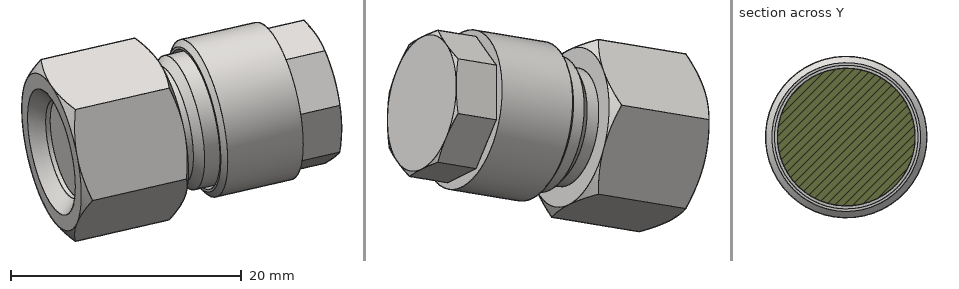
import cadquery as cq
import math

total_length = 24.7
hex_length = 10.0
neck_end = 11.16
collar_start = 11.9
nut_front = 13.25
nut_back = 20.7

hex_across_flats = 14.0
hex_chamfer_angle = 30.0

socket_mouth_radius = 5.6
socket_floor_radius = 4.4
socket_cone_depth = socket_mouth_radius - socket_floor_radius
socket_floor_depth = socket_cone_depth + 0.42

neck_radius = 5.2
collar_radius = 5.98
nut_radius = hex_across_flats / 2
nut_edge_radius = 6.45
nut_chamfer_length = 0.42

groove_radius = 6.22
groove_depth = 2.47

octagon_across_flats = 11.95
octagon_chamfer_angle = 20.0


def revolve_about_y(radius_y_points):
    """Solid of revolution about Y from a closed (radius, y) outline."""
    return cq.Workplane("XY").polyline(radius_y_points).close().revolve(360, (0, 0, 0), (0, 1, 0))


def prism_along_y(sides, across_flats, y_start, y_end, turn):
    """Regular prism along Y, with its first corner turned from +X by the given angle."""
    corner_radius = across_flats / 2 / math.cos(math.pi / sides)
    prism = cq.Workplane("XY").polygon(sides, 2 * corner_radius).extrude(y_end - y_start)
    turned = prism.rotate((0, 0, 0), (0, 0, 1), turn)
    return turned.rotate((0, 0, 0), (1, 0, 0), -90).translate((0, y_start, 0))


def corner_chamfer(sides, across_flats, angle):
    """Radial width and axial length of the chamfer at a prism corner, for a cone touching the flats."""
    flat_radius = across_flats / 2
    corner_radius = flat_radius / math.cos(math.pi / sides)
    return corner_radius - flat_radius, (corner_radius - flat_radius) * math.tan(math.radians(angle))


def make_hexagon():
    width, drop = corner_chamfer(6, hex_across_flats, hex_chamfer_angle)
    flat_radius = hex_across_flats / 2
    corner_radius = flat_radius + width
    envelope = revolve_about_y([
        (0, 0),
        (flat_radius, 0),
        (corner_radius, drop),
        (corner_radius, hex_length - drop),
        (flat_radius, hex_length),
        (0, hex_length),
    ])
    return prism_along_y(6, hex_across_flats, 0, hex_length, 0).intersect(envelope)


def make_octagon():
    width, drop = corner_chamfer(8, octagon_across_flats, octagon_chamfer_angle)
    flat_radius = octagon_across_flats / 2
    corner_radius = flat_radius + width
    envelope = revolve_about_y([
        (0, nut_back),
        (corner_radius, nut_back),
        (corner_radius, total_length - drop),
        (flat_radius, total_length),
        (0, total_length),
    ])
    half_side_angle = 180 / 8
    return prism_along_y(8, octagon_across_flats, nut_back, total_length, half_side_angle).intersect(envelope)


def make_round_body():
    return revolve_about_y([
        (0, hex_length),
        (neck_radius, hex_length),
        (neck_radius, neck_end),
        (collar_radius, collar_start),
        (collar_radius, nut_front + groove_depth),
        (groove_radius, nut_front + groove_depth),
        (groove_radius, nut_front),
        (nut_edge_radius, nut_front),
        (nut_radius, nut_front + nut_chamfer_length),
        (nut_radius, nut_back),
        (0, nut_back),
    ])


def make_socket():
    return revolve_about_y([
        (0, 0),
        (socket_mouth_radius, 0),
        (socket_floor_radius, socket_cone_depth),
        (socket_floor_radius, socket_floor_depth),
        (0, socket_floor_depth),
    ])


result = make_hexagon().union(make_round_body()).union(make_octagon()).cut(make_socket())